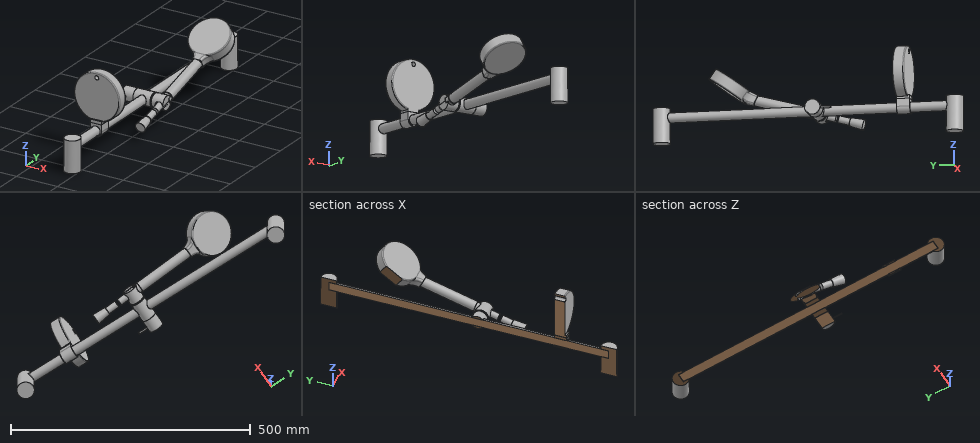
import cadquery as cq
import math


post_base_radius = 18.5
post_top_diameter = 36.5
post_height = 75.0
total_length = 662.5
post_offset_y = total_length / 2 - post_base_radius

rail_diameter = 22.0
rail_radius = rail_diameter / 2
rail_height = 55.0

dish_radius = 55.5
dish_thickness = 24.5
dish_edge_fillet = 2.0
dish_top_z = 185.5
dish_center_z = dish_top_z - dish_radius
dish_back_y = -191.0
dish_hole_radius = 4.5
dish_hole_offset = 44.5
bracket_radius = 14.0
bracket_length = 28.5
bracket_front_y = dish_back_y - bracket_length
bracket_top_z = 71.5
foot_top_z = 79.0

slider_y = -19.0
slider_radius = 16.5
knob_start_x = -50.5
sleeve_start_x = -22.0
sleeve_end_x = 20.0
holder_start_x = 22.0
holder_end_x = 52.0
spigot_radius = 14.5
lever_radius = 2.3
lever_x = -41.0
lever_end_y = -57.0

shower_x = 42.0
handle_tilt = 15.0
handle_diameter = 23.0
handle_radius = handle_diameter / 2
handle_start = 20.0
handle_end = 142.5
tail_radius = 8.0
tail_end = -33.0
collar_radius = 11.0
collar_end = 8.0
holder_bore_radius = 10.0

head_tilt = 35.0
head_radius = 48.0
head_thickness = 26.5
head_edge_fillet = 2.0
neck_length = 63.5
head_drop = 4.5

neck_flare_radius = 25.0
neck_root_distance = 33.0
neck_top_rise = 11.0
neck_bottom_drop = 12.5
neck_edge_fillet = 4.5

hose_tube_radius = 8.0
hose_tube_start = -39.0
nut_start = -64.0
nut_end = -94.0
nut_start_radius = 9.0
nut_end_radius = 12.0


def rod_along_x(radius, start_x, end_x):
    """Round bar on the slider axis."""
    plane = cq.Plane(origin=(start_x, slider_y, rail_height), xDir=(0, 1, 0), normal=(1, 0, 0))
    return cq.Workplane(plane).circle(radius).extrude(end_x - start_x)


def rod_along_y(radius, x, z, start_y, end_y):
    """Round bar parallel to the rail."""
    plane = cq.Plane(origin=(x, start_y, z), xDir=(1, 0, 0), normal=(0, 1, 0))
    return cq.Workplane(plane).circle(radius).extrude(end_y - start_y)


def tilted_direction(angle):
    """Unit vector in the YZ plane, tilted up from +Y."""
    return cq.Vector(0, math.cos(math.radians(angle)), math.sin(math.radians(angle)))


def point_on_handle_axis(distance):
    return cq.Vector(shower_x, slider_y, rail_height) + tilted_direction(handle_tilt) * distance


def plane_on_handle_axis(distance):
    return cq.Plane(
        origin=point_on_handle_axis(distance), xDir=(1, 0, 0), normal=tilted_direction(handle_tilt)
    )


def rod_on_handle_axis(radius, start, end):
    return cq.Workplane(plane_on_handle_axis(start)).circle(radius).extrude(end - start)


def make_rail():
    return rod_along_y(rail_radius, 0, rail_height, -post_offset_y, post_offset_y)


def make_post(y):
    """Slightly tapered post with a socket for the rail end."""
    base = cq.Workplane("XY").center(0, y).circle(post_base_radius)
    post = base.workplane(offset=post_height).circle(post_top_diameter / 2).loft()
    return post.cut(make_rail())


def block_over_rail(bottom_z, top_z):
    """Rectangular block with the footprint of the dish bracket."""
    block = cq.Workplane("XY").box(
        2 * bracket_radius, bracket_length, top_z - bottom_z, centered=(True, False, False)
    )
    return block.translate((0, bracket_front_y, bottom_z))


def make_dish():
    """Upright disc with a hanging hole, standing on a foot that forms a lip in front of it."""
    front_y = dish_back_y - dish_thickness
    disc = rod_along_y(dish_radius, 0, dish_center_z, front_y, dish_back_y)
    disc = disc.edges().fillet(dish_edge_fillet)
    hole_z = dish_center_z + dish_hole_offset
    hole = rod_along_y(dish_hole_radius, 0, hole_z, front_y, dish_back_y)
    return disc.union(block_over_rail(bracket_top_z, foot_top_z)).cut(hole)


def make_bracket():
    """U-shaped clamp around the rail."""
    lower_half = rod_along_y(bracket_radius, 0, rail_height, bracket_front_y, dish_back_y)
    bracket = lower_half.union(block_over_rail(rail_height, bracket_top_z))
    return bracket.cut(make_rail())


def make_sleeve():
    return rod_along_x(slider_radius, sleeve_start_x, sleeve_end_x).cut(make_rail())


def make_knob():
    knob = rod_along_x(slider_radius, knob_start_x, sleeve_start_x)
    lever = rod_along_y(lever_radius, lever_x, rail_height, lever_end_y, slider_y)
    return knob.union(lever)


def make_holder():
    """Swivel holder with a tilted collar for the handle and a spigot against the sleeve."""
    holder = rod_along_x(slider_radius, holder_start_x, holder_end_x)
    holder = holder.union(rod_along_x(spigot_radius, sleeve_end_x, holder_start_x))
    holder = holder.union(rod_on_handle_axis(collar_radius, collar_end, handle_start))
    bore = rod_on_handle_axis(holder_bore_radius, -2 * slider_radius, handle_start)
    return holder.cut(bore)


joint = point_on_handle_axis(handle_end)
head_axis = tilted_direction(head_tilt)
face_normal = tilted_direction(head_tilt + 90)
head_center = joint + head_axis * neck_length - face_normal * head_drop
head_plane = cq.Plane(origin=head_center, xDir=(1, 0, 0), normal=face_normal)
half_bend = (head_tilt - handle_tilt) / 2


def make_handle():
    """Handle trimmed to a mitre at the neck, with the tail that runs through the holder."""
    mitre_normal = tilted_direction(handle_tilt + half_bend)
    mitre_plane = cq.Plane(origin=joint, xDir=(1, 0, 0), normal=mitre_normal)
    trim_size = 4 * handle_radius
    beyond_joint = cq.Workplane(mitre_plane).rect(trim_size, trim_size).extrude(trim_size)
    handle = rod_on_handle_axis(handle_radius, handle_start, handle_end + handle_radius).cut(beyond_joint)
    return handle.union(rod_on_handle_axis(tail_radius, tail_end, handle_start))


def make_neck_planform():
    """Neck outline seen square to the head, as a block."""
    flare_x = handle_radius + neck_flare_radius
    rim_to_flare = head_radius + neck_flare_radius
    flare_y = -math.sqrt(rim_to_flare**2 - flare_x**2)
    rim_x = flare_x * head_radius / rim_to_flare
    rim_y = flare_y * head_radius / rim_to_flare
    mid_angle = (math.pi + math.atan2(-flare_y, -flare_x)) / 2
    mid_x = flare_x + neck_flare_radius * math.cos(mid_angle)
    mid_y = flare_y + neck_flare_radius * math.sin(mid_angle)
    back_y = -neck_length - handle_radius
    outline = (
        cq.Workplane(head_plane)
        .moveTo(handle_radius, back_y)
        .lineTo(handle_radius, flare_y)
        .threePointArc((mid_x, mid_y), (rim_x, rim_y))
        .lineTo(rim_x, -neck_root_distance)
        .lineTo(-rim_x, -neck_root_distance)
        .lineTo(-rim_x, rim_y)
        .threePointArc((-mid_x, mid_y), (-handle_radius, flare_y))
        .lineTo(-handle_radius, back_y)
        .close()
    )
    return outline.extrude(head_radius, both=True)


def make_neck():
    """Neck between the mitre and the head, its thickness running from the handle's to the head's."""
    mitre_run = handle_radius * math.tan(math.radians(half_bend))
    side_plane = cq.Plane(origin=head_center, xDir=head_axis.toTuple(), normal=(1, 0, 0))
    side_profile = (
        cq.Workplane(side_plane)
        .moveTo(-neck_length + mitre_run, head_drop + handle_radius)
        .lineTo(-neck_root_distance, neck_top_rise)
        .lineTo(-neck_root_distance, -neck_bottom_drop)
        .lineTo(-head_radius, -neck_bottom_drop)
        .lineTo(-neck_length - mitre_run, head_drop - handle_radius)
        .close()
        .extrude(head_radius, both=True)
    )
    neck = make_neck_planform().intersect(side_profile)

    def runs_lengthwise(edge):
        """True for an edge within 60 degrees of the head axis at its middle."""
        return abs(edge.tangentAt(0.5).dot(head_axis)) > math.cos(math.radians(60))

    long_edges = [edge for edge in neck.edges().vals() if runs_lengthwise(edge)]
    return neck.newObject(long_edges).fillet(neck_edge_fillet)


def make_head():
    head = cq.Workplane(head_plane).circle(head_radius).extrude(head_thickness / 2, both=True)
    return head.edges().fillet(head_edge_fillet)


def make_hand_shower():
    return make_handle().union(make_neck()).union(make_head())


def make_hose_nut():
    tube = rod_on_handle_axis(hose_tube_radius, nut_start, hose_tube_start)
    nut = (
        cq.Workplane(plane_on_handle_axis(nut_end))
        .circle(nut_end_radius)
        .workplane(offset=nut_start - nut_end)
        .circle(nut_start_radius)
        .loft()
    )
    return nut.union(tube)


rail = make_rail()
posts = [make_post(y) for y in (-post_offset_y, post_offset_y)]
dish = make_dish()
bracket = make_bracket()
sleeve = make_sleeve()
knob = make_knob()
holder = make_holder()
hand_shower = make_hand_shower()
hose_nut = make_hose_nut()

bodies = [rail, *posts, dish, bracket, sleeve, knob, holder, hand_shower, hose_nut]
result = cq.Compound.makeCompound([body.val() for body in bodies])